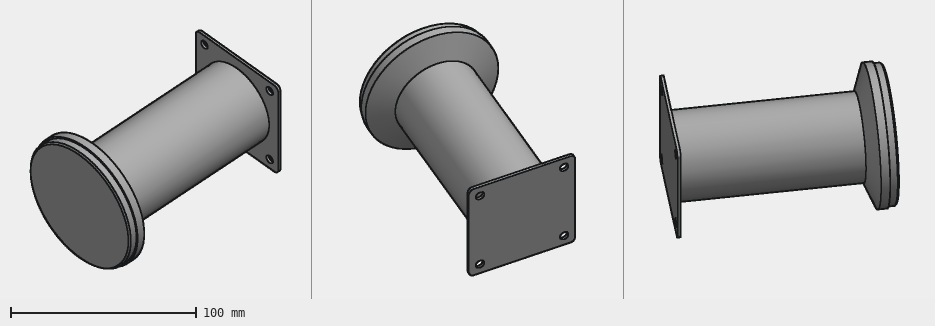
import cadquery as cq

total_length = 120.0

rim_diameter = 80.0
rim_width = 5.0
pad_diameter = 78.0
pad_width = 5.0
pad_edge_chamfer = 1.0
cone_length = 6.0

column_diameter = 50.0

plate_side = 64.0
plate_thickness = 1.8
plate_corner_radius = 3.0
hole_diameter = 5.0
hole_spacing = 50.6

rim_start = pad_width
cone_start = rim_start + rim_width
cone_end = cone_start + cone_length
plate_start = total_length - plate_thickness


def make_leg():
    """Revolve the pad, rim, cone and column about the Y axis."""
    pad_radius = pad_diameter / 2
    rim_radius = rim_diameter / 2
    column_radius = column_diameter / 2
    return (
        cq.Workplane("XY")
        .moveTo(0, 0)
        .lineTo(-pad_radius + pad_edge_chamfer, 0)
        .lineTo(-pad_radius, pad_edge_chamfer)
        .lineTo(-pad_radius, rim_start)
        .lineTo(-rim_radius, rim_start)
        .lineTo(-rim_radius, cone_start)
        .lineTo(-column_radius, cone_end)
        .lineTo(-column_radius, plate_start)
        .lineTo(0, plate_start)
        .close()
        .revolve(360, (0, 0, 0), (0, 1, 0))
    )


def make_plate():
    """Square plate with rounded corners and a through hole near each corner."""
    plate = (
        cq.Workplane("XZ", origin=(0, plate_start, 0))
        .rect(plate_side, plate_side)
        .extrude(-plate_thickness)
        .edges("|Y")
        .fillet(plate_corner_radius)
    )
    holes = (
        cq.Workplane("XZ", origin=(0, plate_start, 0))
        .rect(hole_spacing, hole_spacing, forConstruction=True)
        .vertices()
        .circle(hole_diameter / 2)
        .extrude(-plate_thickness)
    )
    return plate.cut(holes)


result = make_leg().union(make_plate())